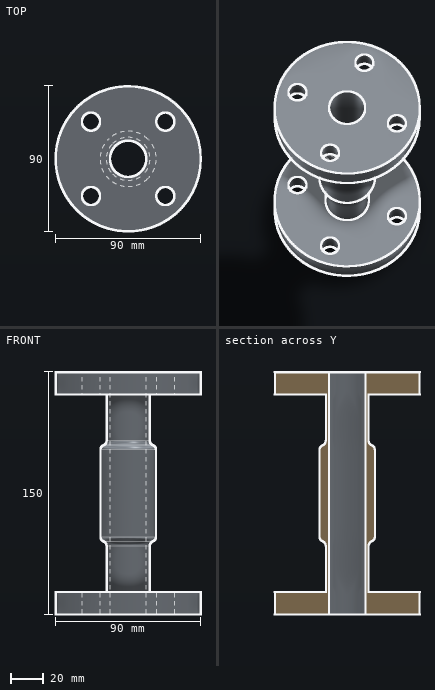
import cadquery as cq
import math

length = 150.0
flange_diameter = 90.0
flange_thickness = 14.0

pipe_diameter = 26.8
bore_diameter = 22.4
sleeve_diameter = 34.5
sleeve_straight_length = 54.0
shoulder_arc_radius = 3.0

bolt_hole_count = 4
bolt_hole_diameter = 11.1
bolt_circle_diameter = 65.1
first_bolt_angle = 45.0


def flange(bottom_z):
    """Round flange with a ring of through bolt holes."""
    disc = cq.Workplane("XY").workplane(offset=bottom_z).circle(flange_diameter / 2).extrude(flange_thickness)
    holes = (
        cq.Workplane("XY")
        .workplane(offset=bottom_z)
        .polarArray(bolt_circle_diameter / 2, first_bolt_angle, 360, bolt_hole_count)
        .circle(bolt_hole_diameter / 2)
        .extrude(flange_thickness)
    )
    return disc.cut(holes)


def pipe_with_sleeve():
    """Solid of revolution: pipe whose sleeve blends in through S-shaped shoulders."""
    pipe_radius = pipe_diameter / 2
    sleeve_radius = sleeve_diameter / 2
    straight_z = sleeve_straight_length / 2
    step = sleeve_radius - pipe_radius
    centre_spacing = 2 * shoulder_arc_radius
    shoulder_height = math.sqrt(centre_spacing**2 - (centre_spacing - step) ** 2)
    shoulder_z = straight_z + shoulder_height
    middle_radius = (pipe_radius + sleeve_radius) / 2
    middle_z = straight_z + shoulder_height / 2
    profile = (
        cq.Workplane("XZ")
        .moveTo(0, -length / 2)
        .lineTo(pipe_radius, -length / 2)
        .lineTo(pipe_radius, -shoulder_z)
        .tangentArcPoint((middle_radius, -middle_z), relative=False)
        .tangentArcPoint((sleeve_radius, -straight_z), relative=False)
        .lineTo(sleeve_radius, straight_z)
        .tangentArcPoint((middle_radius, middle_z), relative=False)
        .tangentArcPoint((pipe_radius, shoulder_z), relative=False)
        .lineTo(pipe_radius, length / 2)
        .lineTo(0, length / 2)
        .close()
    )
    return profile.revolve(360, (0, 0, 0), (0, 1, 0))


body = pipe_with_sleeve()
for flange_bottom in (-length / 2, length / 2 - flange_thickness):
    body = body.union(flange(flange_bottom))

bore = cq.Workplane("XY").workplane(offset=-length / 2).circle(bore_diameter / 2).extrude(length)
result = body.cut(bore)